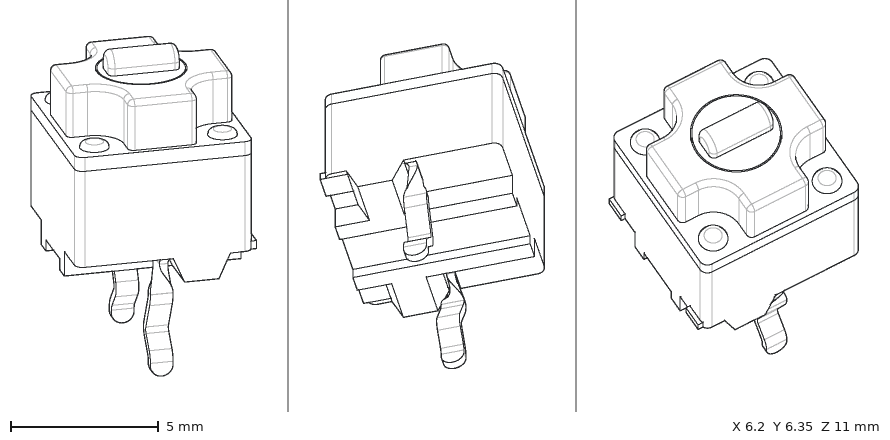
import cadquery as cq
import math


HOUSING_SIDE = 6.2
HOUSING_TOP = 4.9
HOUSING_CORNER_RADIUS = 0.3
COVER_THICKNESS = 0.5
BASE_TOP = HOUSING_TOP - COVER_THICKNESS
FOOT_HEIGHT = 0.9

CENTER_FOOT_WIDTH = 3.0
CHANNEL_WIDTH = 1.8
CHANNEL_DEPTH = 0.4

TAPERED_FOOT_Y = 1.29
TAPERED_FOOT_TOP_WIDTH = 2.0
TAPERED_FOOT_BOTTOM_WIDTH = 1.2

RIVET_OFFSET = 2.25
RIVET_RADIUS = 0.5
RIVET_EDGE_RADIUS = 0.2

COLLAR_SPAN = 5.8
COLLAR_ARM_WIDTH = 2.4
COLLAR_INNER_RADIUS = 1.0
COLLAR_EDGE_RADIUS = 0.2
COLLAR_HEIGHT = 1.8
COLLAR_TOP = HOUSING_TOP + COLLAR_HEIGHT

BUTTON_DIAMETER = 3.0
BUTTON_CLEARANCE = 0.049
RIDGE_WIDTH = 1.0
RIDGE_LENGTH = 2.5
RIDGE_HEIGHT = 0.76
RIDGE_EDGE_RADIUS = 0.2

TERMINAL_X = 2.54
STRIP_WIDTH = 0.8
STRIP_THICKNESS = 0.3
TAIL_PROTRUSION = 0.15
TAIL_Z = FOOT_HEIGHT + STRIP_THICKNESS / 2
TAIL_BEND_RADIUS = 0.35
TWIST_TOP = 0.68
TWIST_BOTTOM = -0.5
TWIST_STEPS = 4
KINK_TOP = -0.7
KINK_ELBOW = -2.05
KINK_BOTTOM = -2.83
KINK_DEPTH = 0.69
KINK_TOP_RADIUS = 0.8
KINK_ELBOW_RADIUS = 0.35
KINK_BOTTOM_RADIUS = 0.46
TERMINAL_TIP = -3.5


def rounded_block(bottom, top):
    """Square block with rounded corners between two heights."""
    return (
        cq.Workplane("XY", origin=(0, 0, bottom))
        .rect(HOUSING_SIDE, HOUSING_SIDE)
        .extrude(top - bottom)
        .edges("|Z")
        .fillet(HOUSING_CORNER_RADIUS)
    )


def center_foot():
    """Foot along Y, split into two rails by the channel under it."""
    foot = cq.Workplane("XY").rect(CENTER_FOOT_WIDTH, HOUSING_SIDE).extrude(FOOT_HEIGHT)
    channel = cq.Workplane("XY").rect(CHANNEL_WIDTH, HOUSING_SIDE).extrude(CHANNEL_DEPTH)
    return foot.cut(channel)


def tapered_feet():
    """Trapezoidal feet on both sides of the central foot."""
    half_top = TAPERED_FOOT_TOP_WIDTH / 2
    half_bottom = TAPERED_FOOT_BOTTOM_WIDTH / 2
    bar = (
        cq.Workplane("YZ")
        .polyline([
            (TAPERED_FOOT_Y - half_top, FOOT_HEIGHT),
            (TAPERED_FOOT_Y - half_bottom, 0),
            (TAPERED_FOOT_Y + half_bottom, 0),
            (TAPERED_FOOT_Y + half_top, FOOT_HEIGHT),
        ])
        .close()
        .extrude(HOUSING_SIDE / 2, both=True)
    )
    between = cq.Workplane("XY").rect(CENTER_FOOT_WIDTH, HOUSING_SIDE).extrude(FOOT_HEIGHT)
    return bar.cut(between)


def rivet_head(x, y):
    """Low round head whose edge is rounded over its full height."""
    flat_radius = RIVET_RADIUS - RIVET_EDGE_RADIUS
    diagonal = RIVET_EDGE_RADIUS * math.sqrt(0.5)
    return (
        cq.Workplane("XZ")
        .lineTo(RIVET_RADIUS, 0)
        .threePointArc((flat_radius + diagonal, diagonal), (flat_radius, RIVET_EDGE_RADIUS))
        .lineTo(0, RIVET_EDGE_RADIUS)
        .close()
        .revolve(360, (0, 0), (0, 1))
        .translate((x, y, HOUSING_TOP))
    )


def collar():
    """Cross with concave inner corners and rounded outer edges."""
    base = cq.Workplane("XY", origin=(0, 0, HOUSING_TOP))
    arm_along_x = base.rect(COLLAR_SPAN, COLLAR_ARM_WIDTH).extrude(COLLAR_HEIGHT)
    arm_along_y = base.rect(COLLAR_ARM_WIDTH, COLLAR_SPAN).extrude(COLLAR_HEIGHT)
    cross = arm_along_x.union(arm_along_y)
    middle = cq.selectors.BoxSelector(
        (-COLLAR_ARM_WIDTH, -COLLAR_ARM_WIDTH, HOUSING_TOP),
        (COLLAR_ARM_WIDTH, COLLAR_ARM_WIDTH, COLLAR_TOP),
    )
    cross = cross.edges("|Z").edges(middle).fillet(COLLAR_INNER_RADIUS)
    cross = cross.faces("<X or >X or <Y or >Y").edges("|Z").fillet(COLLAR_EDGE_RADIUS)
    return cross.faces(">Z").edges().fillet(COLLAR_EDGE_RADIUS)


def button_hole():
    """Round hole through the cover and its collar, wider than the button by the clearance."""
    return (
        cq.Workplane("XY", origin=(0, 0, BASE_TOP))
        .circle(BUTTON_DIAMETER / 2 + BUTTON_CLEARANCE)
        .extrude(COLLAR_TOP - BASE_TOP)
    )


def make_cover():
    """Cover plate with rivet heads, and a collar with a hole for the button."""
    cover = rounded_block(BASE_TOP, HOUSING_TOP).union(collar())
    for x in (-RIVET_OFFSET, RIVET_OFFSET):
        for y in (-RIVET_OFFSET, RIVET_OFFSET):
            cover = cover.union(rivet_head(x, y))
    return cover.cut(button_hole())


def button():
    """Round button, flush with the collar, with a round-topped ridge across it."""
    half_width = RIDGE_WIDTH / 2
    stem = (
        cq.Workplane("XY", origin=(0, 0, BASE_TOP))
        .circle(BUTTON_DIAMETER / 2)
        .extrude(COLLAR_TOP - BASE_TOP)
    )
    ridge = (
        cq.Workplane("XZ", origin=(0, 0, COLLAR_TOP))
        .moveTo(-half_width, 0)
        .lineTo(-half_width, RIDGE_HEIGHT - half_width)
        .threePointArc((0, RIDGE_HEIGHT), (half_width, RIDGE_HEIGHT - half_width))
        .lineTo(half_width, 0)
        .close()
        .extrude(RIDGE_LENGTH / 2, both=True)
    )
    ridge = ridge.faces("<Y or >Y").edges("not <Z").fillet(RIDGE_EDGE_RADIUS)
    return stem.union(ridge)


def make_base(terminals):
    """Base with its feet and button, and recesses that fit the terminals."""
    base = rounded_block(FOOT_HEIGHT, BASE_TOP).union(center_foot()).union(tapered_feet()).union(button())
    for terminal in terminals:
        base = base.cut(terminal)
    return base


def rounded_path(plane, points, radii):
    """Open path through the points, with each inner corner rounded to its radius."""
    path = cq.Workplane(plane).moveTo(*points[0])
    for before, corner, after, radius in zip(points, points[1:], points[2:], radii):
        corner = cq.Vector(*corner)
        back = (cq.Vector(*before) - corner).normalized()
        ahead = (cq.Vector(*after) - corner).normalized()
        half_angle = back.getAngle(ahead) / 2
        tangent_length = radius / math.tan(half_angle)
        arc_gap = radius / math.sin(half_angle) - radius
        arc_start = corner + back * tangent_length
        arc_middle = corner + (back + ahead).normalized() * arc_gap
        arc_end = corner + ahead * tangent_length
        path = path.lineTo(arc_start.x, arc_start.y)
        path = path.threePointArc((arc_middle.x, arc_middle.y), (arc_end.x, arc_end.y))
    return path.lineTo(*points[-1])


def terminal_tail():
    """Strip from behind the housing to the middle, bent down there."""
    tail_end = HOUSING_SIDE / 2 + TAIL_PROTRUSION
    points = [(tail_end, TAIL_Z), (0, TAIL_Z), (0, TWIST_TOP)]
    path = rounded_path("YZ", points, [TAIL_BEND_RADIUS])
    section = cq.Workplane("XZ", origin=(0, tail_end, TAIL_Z)).rect(STRIP_WIDTH, STRIP_THICKNESS)
    return section.sweep(path)


def twist_section(side, fraction):
    """Strip corners part-way through the turn, each moving along the straight line to its end point."""
    eased = fraction**2 * (3 - 2 * fraction)
    corners = []
    for x_sign, y_sign in [(1, 1), (-1, 1), (-1, -1), (1, -1)]:
        start = cq.Vector(x_sign * STRIP_WIDTH / 2, y_sign * STRIP_THICKNESS / 2)
        end = cq.Vector(-side * start.y, side * start.x)
        corner = start + (end - start) * eased
        corners.append((corner.x, corner.y))
    return corners


def terminal_twist(side):
    """Quarter turn that brings the flat of the strip from facing Y to facing X."""
    height = TWIST_TOP - TWIST_BOTTOM
    twist = cq.Workplane("XY", origin=(0, 0, TWIST_TOP))
    twist = twist.polyline(twist_section(side, 0)).close()
    for step in range(1, TWIST_STEPS + 1):
        twist = twist.workplane(offset=-height / TWIST_STEPS)
        twist = twist.polyline(twist_section(side, step / TWIST_STEPS)).close()
    return twist.loft()


def terminal_leg(side):
    """Leg kinked towards the middle of the switch, with a round tip."""
    tip_center = TERMINAL_TIP + STRIP_WIDTH / 2
    points = [
        (0, TWIST_BOTTOM),
        (0, KINK_TOP),
        (-side * KINK_DEPTH, KINK_ELBOW),
        (0, KINK_BOTTOM),
        (0, tip_center),
    ]
    path = rounded_path("XZ", points, [KINK_TOP_RADIUS, KINK_ELBOW_RADIUS, KINK_BOTTOM_RADIUS])
    section = cq.Workplane("XY", origin=(0, 0, TWIST_BOTTOM)).rect(STRIP_THICKNESS, STRIP_WIDTH)
    tip = (
        cq.Workplane("YZ", origin=(0, 0, tip_center))
        .moveTo(-STRIP_WIDTH / 2, 0)
        .threePointArc((0, -STRIP_WIDTH / 2), (STRIP_WIDTH / 2, 0))
        .close()
        .extrude(STRIP_THICKNESS / 2, both=True)
    )
    return section.sweep(path).union(tip)


def make_terminal(side):
    """Terminal on the -X side (side = -1) or the +X side (side = 1)."""
    strip = terminal_tail().union(terminal_twist(side)).union(terminal_leg(side))
    return strip.translate((side * TERMINAL_X, 0, 0))


terminals = [make_terminal(side) for side in (-1, 1)]
base = make_base(terminals)
cover = make_cover()

result = cq.Compound.makeCompound([
    *base.solids().vals(),
    *cover.solids().vals(),
    *[terminal.solids().val() for terminal in terminals],
])